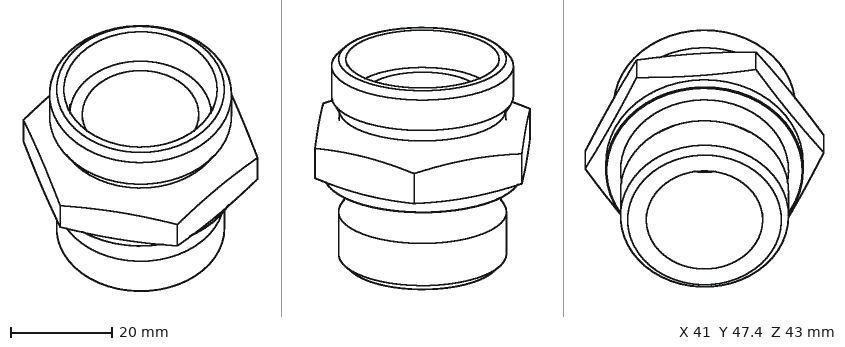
import cadquery as cq
import math

total_height = 43.0
lower_thread_top = 10.4
lower_groove_start = 12.9
lower_groove_end = 14.55
collar_bottom = 18.1
hex_bottom = 20.92
hex_top = 29.0
upper_neck_top = 32.25
upper_cone_start = 32.85
upper_thread_bottom = 35.1

lower_thread_radius = 33.25 / 2
lower_groove_radius = 14.9
groove_edge_radius = 15.15
collar_radius = 39.0 / 2
collar_chamfer = 0.2
upper_thread_radius = 36.0 / 2
upper_neck_radius = 33.0 / 2
upper_cone_radius = 16.7
neck_fillet = 1.3
end_chamfer = 1.4

hex_corner_diameter = 47.35
hex_corner_radius = hex_corner_diameter / 2
hex_flat_radius = hex_corner_radius * math.cos(math.radians(30))
hex_chamfer_angle = 15.0

bore_radius = 23.0 / 2
socket_radius = 28.0 / 2
socket_mouth_radius = 15.15
socket_depth = 7.5
taper_half_angle = 12.0


def revolve_profile(profile):
    """Turn a closed radius-height profile about the Z axis."""
    return profile.close().revolve(360, (0, 0, 0), (0, 1, 0))


def turned_body():
    """Both threaded ends, the grooves and the collar, without the bore."""
    groove_middle = (lower_groove_start + lower_groove_end) / 2
    fillet_centre = (upper_neck_radius + neck_fillet, hex_top + neck_fillet)
    fillet_offset = neck_fillet * math.sqrt(0.5)
    fillet_middle = (fillet_centre[0] - fillet_offset, fillet_centre[1] - fillet_offset)
    profile = (
        cq.Workplane("XZ")
        .lineTo(lower_thread_radius - end_chamfer, 0)
        .lineTo(lower_thread_radius, end_chamfer)
        .lineTo(lower_thread_radius, lower_thread_top)
        .lineTo(groove_edge_radius, lower_groove_start)
        .threePointArc((lower_groove_radius, groove_middle), (groove_edge_radius, lower_groove_end))
        .lineTo(lower_thread_radius, collar_bottom)
        .lineTo(collar_radius - collar_chamfer, collar_bottom)
        .lineTo(collar_radius, collar_bottom + collar_chamfer)
        .lineTo(collar_radius, hex_top)
        .lineTo(upper_neck_radius + neck_fillet, hex_top)
        .threePointArc(fillet_middle, (upper_neck_radius, hex_top + neck_fillet))
        .lineTo(upper_neck_radius, upper_neck_top)
        .lineTo(upper_cone_radius, upper_cone_start)
        .lineTo(upper_thread_radius, upper_thread_bottom)
        .lineTo(upper_thread_radius, total_height - end_chamfer)
        .lineTo(upper_thread_radius - end_chamfer, total_height)
        .lineTo(0, total_height)
    )
    return revolve_profile(profile)


def hexagon():
    """Hexagon with its corners turned off conically above and below."""
    corner_drop = (hex_corner_radius - hex_flat_radius) * math.tan(math.radians(hex_chamfer_angle))
    prism = (
        cq.Workplane("XY", origin=(0, 0, hex_bottom))
        .transformed(rotate=(0, 0, 90))
        .polygon(6, hex_corner_diameter)
        .extrude(hex_top - hex_bottom)
    )
    envelope = revolve_profile(
        cq.Workplane("XZ")
        .moveTo(0, hex_bottom)
        .lineTo(hex_flat_radius, hex_bottom)
        .lineTo(hex_corner_radius, hex_bottom + corner_drop)
        .lineTo(hex_corner_radius, hex_top - corner_drop)
        .lineTo(hex_flat_radius, hex_top)
        .lineTo(0, hex_top)
    )
    return prism.intersect(envelope)


def bore_and_socket():
    """Through bore opening into a socket whose mouth is tapered."""
    taper_depth = (socket_mouth_radius - socket_radius) / math.tan(math.radians(taper_half_angle))
    seat_height = total_height - socket_depth
    profile = (
        cq.Workplane("XZ")
        .lineTo(bore_radius, 0)
        .lineTo(bore_radius, seat_height)
        .lineTo(socket_radius, seat_height)
        .lineTo(socket_radius, total_height - taper_depth)
        .lineTo(socket_mouth_radius, total_height)
        .lineTo(0, total_height)
    )
    return revolve_profile(profile)


result = turned_body().union(hexagon()).cut(bore_and_socket())